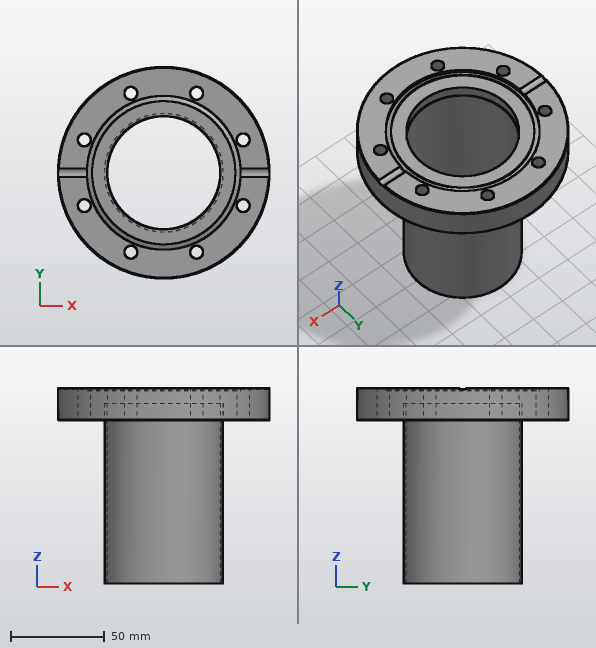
import cadquery as cq

overall_height = 105.0
flange_diameter = 113.5
flange_thickness = 17.5
rim_chamfer = 0.5
flange_bottom = overall_height - flange_thickness

recess_diameter = 82.5
knife_diameter = 76.8
recess_depth = 1.8
knife_tip_depth = 0.6
seal_floor_depth = 1.2

lip_bore_diameter = 60.5
lip_length = 7.0
socket_diameter = 63.8
socket_top = overall_height - seal_floor_depth - lip_length

bolt_count = 8
bolt_hole_diameter = 6.8
bolt_circle_diameter = 92.2
first_bolt_angle = 180 / bolt_count

groove_width = 4.5
groove_depth = 1.0
groove_radius = ((groove_width / 2) ** 2 + groove_depth**2) / (2 * groove_depth)

tube_outer_diameter = 63.5
tube_inner_diameter = 61.0


def make_flange_blank():
    """Revolve the flange section, with knife edge, lip and tube socket."""
    outer_radius = flange_diameter / 2
    lip_radius = lip_bore_diameter / 2
    socket_radius = socket_diameter / 2
    recess_radius = recess_diameter / 2
    knife_radius = knife_diameter / 2
    section = (
        cq.Workplane("XZ")
        .moveTo(socket_radius, flange_bottom)
        .lineTo(outer_radius - rim_chamfer, flange_bottom)
        .lineTo(outer_radius, flange_bottom + rim_chamfer)
        .lineTo(outer_radius, overall_height - rim_chamfer)
        .lineTo(outer_radius - rim_chamfer, overall_height)
        .lineTo(recess_radius, overall_height)
        .lineTo(recess_radius, overall_height - recess_depth)
        .lineTo(knife_radius, overall_height - knife_tip_depth)
        .lineTo(knife_radius, overall_height - seal_floor_depth)
        .lineTo(lip_radius, overall_height - seal_floor_depth)
        .lineTo(lip_radius, socket_top)
        .lineTo(socket_radius, socket_top)
        .close()
    )
    return section.revolve(360, (0, 0, 0), (0, 1, 0))


def make_bolt_holes():
    """Through-hole cutters, straddling the X and Y axes."""
    return (
        cq.Workplane("XY", origin=(0, 0, flange_bottom))
        .polarArray(bolt_circle_diameter / 2, first_bolt_angle, 360, bolt_count)
        .circle(bolt_hole_diameter / 2)
        .extrude(flange_thickness)
    )


def make_groove_cutter():
    """Groove cutter along X, kept outside the seal recess so the knife edge stays whole."""
    axis_height = overall_height - groove_depth + groove_radius
    channel = (
        cq.Workplane("YZ")
        .center(0, axis_height)
        .circle(groove_radius)
        .extrude(flange_diameter / 2, both=True)
    )
    seal_area = (
        cq.Workplane("XY", origin=(0, 0, flange_bottom))
        .circle(recess_diameter / 2)
        .extrude(flange_thickness + 2 * groove_radius)
    )
    return channel.cut(seal_area)


def make_flange():
    return make_flange_blank().cut(make_bolt_holes()).cut(make_groove_cutter()).solids()


def make_tube():
    """Plain tube seated against the lip at the top of the flange socket."""
    return (
        cq.Workplane("XY")
        .circle(tube_outer_diameter / 2)
        .circle(tube_inner_diameter / 2)
        .extrude(socket_top)
    )


flange = make_flange()
tube = make_tube()

result = cq.Compound.makeCompound([flange.val(), tube.val()])